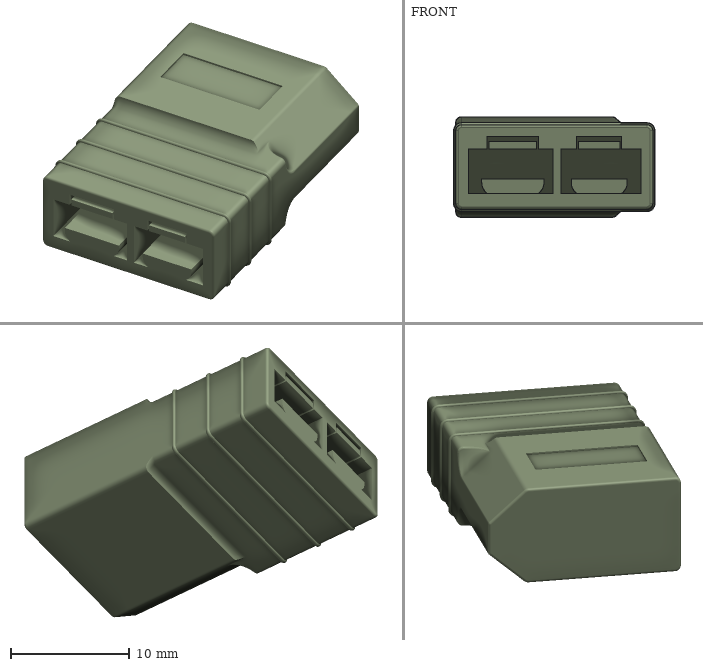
import cadquery as cq
import math

LENGTH = 25.0
RIB_HEIGHT = 0.18
HALF_WIDTH = 8.5 - RIB_HEIGHT
REAR_HALF_HEIGHT = 4.25
FRONT_HALF_HEIGHT = 3.58
STEP_Y = 12.5
STEP_RADIUS = 0.75
CORNER_RADIUS = 0.5
END_RADIUS = 0.22
OVERSHOOT = 0.5

RIDGE_X = 5.05
SLOPE_FOOT_X = 5.82
RIDGE_RADIUS = 0.55
SLOPE_END_Y = 13.95
SLOPE_END_RADIUS = 1.52
SLOPE_EDGE_RADIUS = 0.2

RIB_EDGE_RADIUS = 0.172
RIB_COUNT = 3
FIRST_RIB_Y = 2.62
RIB_PITCH = 3.48

PANEL_WIDTH = 9.65
PANEL_LENGTH = 3.98
PANEL_X = -1.5
PANEL_Y = 18.65
PANEL_DEPTH = 0.18

SOCKET_DEPTH = 10.0
SOCKET_FLOOR_Z = -2.25
SOCKET_ROOF_Z = 1.55
NOTCH_TOP_Z = 2.6
TAB_TOP_Z = 2.15
BLADE_TOP_Z = -1.0
BLADE_CORNER_RADIUS = 1.1
BLADE_STRAIGHT_SIDE = 0.32

SOCKETS = [
    dict(x=-3.68, width=7.15, contact_x=-3.5, notch_width=4.32, tab_width=4.0, blade_width=5.25),
    dict(x=3.95, width=6.72, contact_x=3.8, notch_width=3.8, tab_width=3.48, blade_width=4.72),
]


def block(x, width, bottom, top, depth):
    """A box that runs back from the front face, centred on x."""
    return cq.Workplane("XY").box(width, depth, top - bottom, centered=(True, False, False)).translate(
        (x, 0, bottom)
    )


def mirrored(tool):
    """The tool and its mirror image below the mid-plane."""
    return [tool, tool.mirror("XY")]


def rounded_bar(half_width, half_height, corner_radius, start_y, end_y):
    """A bar along Y with round long edges."""
    return (
        cq.Workplane("XZ", origin=(0, start_y, 0))
        .rect(2 * half_width, 2 * half_height)
        .extrude(start_y - end_y)
        .edges("|Y")
        .fillet(corner_radius)
    )


def front_bar():
    """The front part's cross-section, carried through to the rear face."""
    return rounded_bar(HALF_WIDTH, FRONT_HALF_HEIGHT, CORNER_RADIUS, 0, LENGTH)


def housing_blank():
    """Front part blended up into a wide flange, which is then trimmed to the rear block's outline."""
    flange = (
        cq.Workplane("XZ", origin=(0, STEP_Y, 0))
        .rect(4 * HALF_WIDTH, 4 * REAR_HALF_HEIGHT)
        .extrude(STEP_Y - LENGTH)
    )
    inner_corner = cq.selectors.BoxSelector(
        (-HALF_WIDTH - OVERSHOOT, STEP_Y - OVERSHOOT, -REAR_HALF_HEIGHT),
        (HALF_WIDTH + OVERSHOOT, STEP_Y + OVERSHOOT, REAR_HALF_HEIGHT),
    )
    blended = front_bar().union(flange).edges(inner_corner).fillet(STEP_RADIUS)
    return blended.intersect(rounded_bar(HALF_WIDTH, REAR_HALF_HEIGHT, CORNER_RADIUS, 0, LENGTH))


def slope_tools():
    """Cutters for one sloped corner: outside the front part's section, and inside it."""
    outer_x = HALF_WIDTH + OVERSHOOT
    top_z = REAR_HALF_HEIGHT + OVERSHOOT
    run = SLOPE_FOOT_X - RIDGE_X
    drop = REAR_HALF_HEIGHT - FRONT_HALF_HEIGHT
    slope_length = math.hypot(run, drop)
    slope_angle = math.atan2(drop, run)
    setback = RIDGE_RADIUS * math.tan(slope_angle / 2)
    arc_start_x = RIDGE_X - setback
    arc_center_z = REAR_HALF_HEIGHT - RIDGE_RADIUS

    def ridge_point(angle):
        return (arc_start_x + RIDGE_RADIUS * math.sin(angle), arc_center_z + RIDGE_RADIUS * math.cos(angle))

    upper_start = STEP_Y - STEP_RADIUS
    upper = (
        cq.Workplane("XZ", origin=(0, upper_start, 0))
        .moveTo(arc_start_x, top_z)
        .lineTo(*ridge_point(0))
        .threePointArc(ridge_point(slope_angle / 2), ridge_point(slope_angle))
        .lineTo(SLOPE_FOOT_X, FRONT_HALF_HEIGHT)
        .lineTo(SLOPE_FOOT_X, 0)
        .lineTo(outer_x, 0)
        .lineTo(outer_x, top_z)
        .close()
        .extrude(upper_start - LENGTH)
        .cut(front_bar())
    )

    slope_plane = cq.Plane(
        origin=(SLOPE_FOOT_X, 0, FRONT_HALF_HEIGHT),
        xDir=(0, 1, 0),
        normal=(run / slope_length, 0, -drop / slope_length),
    )
    radius = SLOPE_END_RADIUS
    half_chord = radius * math.sqrt(0.5)
    lower = (
        cq.Workplane(slope_plane)
        .moveTo(LENGTH, 0)
        .lineTo(SLOPE_END_Y, 0)
        .threePointArc((SLOPE_END_Y - half_chord, radius - half_chord), (SLOPE_END_Y - radius, radius))
        .lineTo(SLOPE_END_Y - radius, 2 * radius)
        .lineTo(LENGTH, 2 * radius)
        .close()
        .extrude(outer_x)
    )
    return upper, lower


def cut_slopes(body):
    """Slope off the upper and lower +X corners of the rear block."""
    upper, lower = slope_tools()
    below_front_height = block(0, 4 * HALF_WIDTH, 0, FRONT_HALF_HEIGHT, LENGTH)
    lower = lower.intersect(below_front_height)
    for tool in mirrored(upper) + mirrored(lower):
        body = body.cut(tool)
    return body.edges(slope_rim()).fillet(SLOPE_EDGE_RADIUS)


def slope_rim():
    """Selects the outer edges of both slopes and of their curved ends."""
    near = (SLOPE_FOOT_X + OVERSHOOT, STEP_Y - STEP_RADIUS, -FRONT_HALF_HEIGHT - OVERSHOOT)
    far = (HALF_WIDTH + OVERSHOOT, LENGTH - OVERSHOOT, FRONT_HALF_HEIGHT + OVERSHOOT)
    in_region = cq.selectors.BoxSelector(near, far)
    slope_end_line = cq.selectors.BoxSelector(
        (near[0], SLOPE_END_Y - END_RADIUS, near[2]),
        (HALF_WIDTH - END_RADIUS, SLOPE_END_Y + END_RADIUS, far[2]),
    )
    return in_region - slope_end_line


def rib(y):
    """Half-round bead around the front part."""
    bead = rounded_bar(
        HALF_WIDTH + RIB_HEIGHT,
        FRONT_HALF_HEIGHT + RIB_HEIGHT,
        CORNER_RADIUS + RIB_HEIGHT,
        y - RIB_HEIGHT,
        y + RIB_HEIGHT,
    )
    return bead.faces("<Y or >Y").edges().fillet(RIB_EDGE_RADIUS)


def make_housing():
    body = cut_slopes(housing_blank())
    body = body.faces("<Y or >Y").edges().fillet(END_RADIUS)
    for index in range(RIB_COUNT):
        body = body.union(rib(FIRST_RIB_Y + index * RIB_PITCH))
    panel = cq.Workplane("XY").box(PANEL_WIDTH, PANEL_LENGTH, 2 * PANEL_DEPTH)
    body = body.cut(panel.translate((PANEL_X, PANEL_Y, REAR_HALF_HEIGHT)))
    for s in SOCKETS:
        body = body.cut(block(s["x"], s["width"], SOCKET_FLOOR_Z, SOCKET_ROOF_Z, SOCKET_DEPTH))
        body = body.cut(block(s["contact_x"], s["notch_width"], SOCKET_ROOF_Z, NOTCH_TOP_Z, SOCKET_DEPTH))
    return body


def make_tab(socket):
    """Flat upper contact in the notch, held by the socket's end wall."""
    return block(socket["contact_x"], socket["tab_width"], SOCKET_ROOF_Z, TAB_TOP_Z, SOCKET_DEPTH)


def make_blade(socket):
    """Lower contact resting on the socket floor, with round lower corners."""
    half_width = socket["blade_width"] / 2
    radius = BLADE_CORNER_RADIUS
    arc_top_z = BLADE_TOP_Z - BLADE_STRAIGHT_SIDE
    arc_drop = arc_top_z - SOCKET_FLOOR_Z

    def arc_x(drop):
        return half_width - radius + math.sqrt(radius**2 - drop**2)

    foot_x = arc_x(arc_drop)
    middle = (arc_x(arc_drop / 2), arc_top_z - arc_drop / 2)
    return (
        cq.Workplane("XZ", origin=(socket["contact_x"], 0, 0))
        .moveTo(-half_width, BLADE_TOP_Z)
        .lineTo(half_width, BLADE_TOP_Z)
        .lineTo(half_width, arc_top_z)
        .threePointArc(middle, (foot_x, SOCKET_FLOOR_Z))
        .lineTo(-foot_x, SOCKET_FLOOR_Z)
        .threePointArc((-middle[0], middle[1]), (-half_width, arc_top_z))
        .close()
        .extrude(-SOCKET_DEPTH)
    )


housing = make_housing()
tabs = [make_tab(socket) for socket in SOCKETS]
blades = [make_blade(socket) for socket in SOCKETS]

result = cq.Compound.makeCompound([body.val() for body in [housing] + tabs + blades])